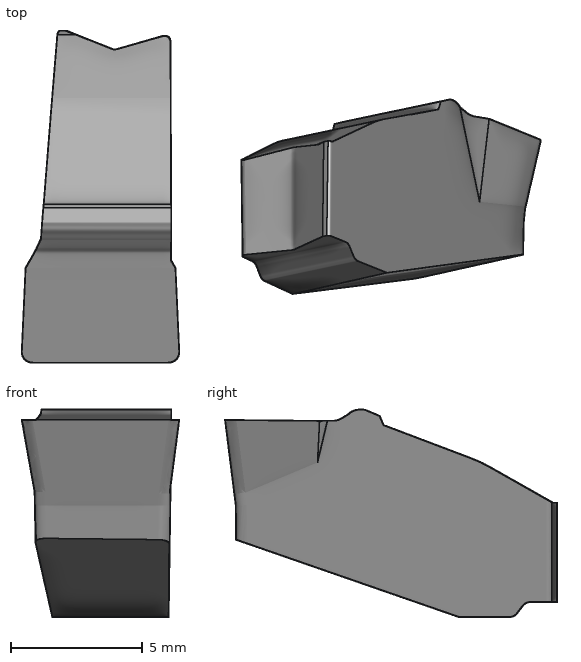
import cadquery as cq


length = 12.66
head_width = 6.01
height = 7.92

edge_z = 7.52
relief_setback = 0.41
relief_end_z = 4.25
nose_setback = 0.44
corner_radius = 0.42

ramp_start_z = 2.97
ramp_tilt = 0.65
foot_front_y = 9.0
foot_rear_y = 11.03
step_run = 0.43
step_z = 0.57
step_radius = 0.35

rake_rear_z = 7.483
groove_y = 4.3
groove_z = 7.49
groove_radius = 0.6
ridge_front_y = 4.68
ridge_front_z = 7.72
ridge_crest_y = 5.17
ridge_back_y = 5.35
ridge_back_z = 7.90
ridge_shoulder_y = 5.90
ridge_shoulder_z = 7.67
back_front_y = 6.05
back_front_z = 7.32
back_bend_y = 9.75
back_bend_z = 5.92
back_bend_radius = 5.0
tail_flat_y = 12.5
tail_z = 4.36

shank_left = 2.505
shank_left_taper = 0.0736
shank_right = 2.57
shank_right_taper = -0.0026
shank_draft = 0.015

notch_x = 0.53
notch_y = 11.93
left_peak_y = 12.77
right_peak_y = 12.53
peak_radius = 0.2
notch_radius = 0.25

head_corner_y = 0.44
head_taper = 0.0435
head_left_draft = 0.173
head_right_draft = 0.125
head_rear_y = 3.61
head_rear_lean = 0.05
bevel_slope = 1.75
bevel_inset = 1.2

shank_low_z = -1.0
head_low_z = 2.5
high_z = 9.0
front_y = -1.0
zone_margin = 0.03
profile_half_span = 5.0


def side_profile():
    """Outline in Y and Z, extruded across the full width."""
    outline = (
        cq.Workplane("YZ", origin=(-profile_half_span, 0, 0))
        .moveTo(0, edge_z)
        .lineTo(relief_setback, relief_end_z)
        .lineTo(nose_setback, 0)
        .lineTo(foot_rear_y, 0)
        .lineTo(foot_rear_y + step_run, step_z)
        .lineTo(length, step_z)
        .lineTo(length, tail_z)
        .lineTo(tail_flat_y, tail_z)
        .lineTo(back_bend_y, back_bend_z)
        .lineTo(back_front_y, back_front_z)
        .lineTo(ridge_shoulder_y, ridge_shoulder_z)
        .lineTo(ridge_back_y, ridge_back_z)
        .threePointArc((ridge_crest_y, height), (ridge_front_y, ridge_front_z))
        .lineTo(groove_y, groove_z)
        .lineTo(head_rear_y, rake_rear_z)
        .close()
        .extrude(2 * profile_half_span)
    )
    outline = round_cross_edge(outline, foot_rear_y, 0, step_radius)
    outline = round_cross_edge(outline, foot_rear_y + step_run, step_z, step_radius)
    outline = round_cross_edge(outline, back_bend_y, back_bend_z, back_bend_radius)
    outline = round_cross_edge(outline, groove_y, groove_z, groove_radius)
    return outline.cut(ramp_cutter())


def round_cross_edge(body, y, z, radius):
    """Fillet the edge that crosses the profile at the given Y and Z."""
    return body.edges(cq.NearestToPointSelector((0, y, z))).fillet(radius)


def ramp_cutter():
    """Wedge under the ramp, tilted a little so the ramp is lower on the +X side."""
    slope = ramp_start_z / (foot_front_y - nose_setback)
    start_z = ramp_start_z + slope * (nose_setback - front_y)
    low_z = -1.0
    low_y = foot_front_y - low_z / slope
    return (
        cq.Workplane("YZ", origin=(-profile_half_span, 0, 0))
        .polyline([(front_y, start_z), (low_y, low_z), (front_y, low_z)])
        .close()
        .extrude(2 * profile_half_span)
        .rotate((0, 0, ramp_start_z), (0, 1, ramp_start_z), ramp_tilt)
    )


def ruled_solid(section, low_z):
    """Straight-walled solid between a section at low_z and one at high_z."""
    return (
        cq.Workplane("XY", origin=(0, 0, low_z))
        .polyline(section(low_z))
        .close()
        .workplane(offset=high_z - low_z)
        .polyline(section(high_z))
        .close()
        .loft(ruled=True)
    )


def shank_left_x(y, z):
    return -(shank_left - shank_left_taper * y + shank_draft * z)


def shank_right_x(y, z):
    return shank_right - shank_right_taper * y + shank_draft * z


def shank_section(z):
    """Shank outline at height z, with the V notch at the tail."""
    return [
        (shank_left_x(front_y, z), front_y),
        (shank_right_x(front_y, z), front_y),
        (shank_right_x(right_peak_y, z), right_peak_y),
        (notch_x, notch_y),
        (shank_left_x(left_peak_y, z), left_peak_y),
    ]


def head_section(z):
    """Head outline at height z; its rear bevels run inward until they are inside the shank."""
    drop = edge_z - z
    rear_y = head_rear_y - head_rear_lean * drop
    front_half_width = head_width / 2 + head_taper * (head_corner_y - front_y)
    left_front = -(front_half_width - head_left_draft * drop)
    right_front = front_half_width - head_right_draft * drop
    left_rear = left_front + head_taper * (rear_y - front_y)
    right_rear = right_front - head_taper * (rear_y - front_y)
    bevel_y = rear_y + bevel_slope * bevel_inset
    return [
        (left_front, front_y),
        (right_front, front_y),
        (right_rear, rear_y),
        (right_rear - bevel_inset, bevel_y),
        (left_rear + bevel_inset, bevel_y),
        (left_rear, rear_y),
    ]


def shank():
    """Tapered shank with the two tail peaks and the notch root rounded."""
    body = ruled_solid(shank_section, shank_low_z)
    middle_z = (shank_low_z + high_z) / 2
    for x, y, radius in (
        (shank_left_x(left_peak_y, middle_z), left_peak_y, peak_radius),
        (notch_x, notch_y, notch_radius),
        (shank_right_x(right_peak_y, middle_z), right_peak_y, peak_radius),
    ):
        body = body.edges(cq.NearestToPointSelector((x, y, middle_z))).fillet(radius)
    return body


def head():
    """Wider cutting head, beveled back into the shank."""
    return ruled_solid(head_section, head_low_z)


def round_front_corners(body):
    """Fillet the upright edges at both ends of the front face, not those across it."""
    front_zone = cq.selectors.BoxSelector(
        (-head_width, front_y, 0),
        (head_width, nose_setback + zone_margin, edge_z + zone_margin),
    )
    corners = []
    for edge in body.edges(front_zone).vals():
        direction = edge.tangentAt(0)
        if abs(direction.z) > abs(direction.x):
            corners.append(edge)
    return body.newObject(corners).fillet(corner_radius)


insert = shank().union(head()).intersect(side_profile())
result = round_front_corners(insert)